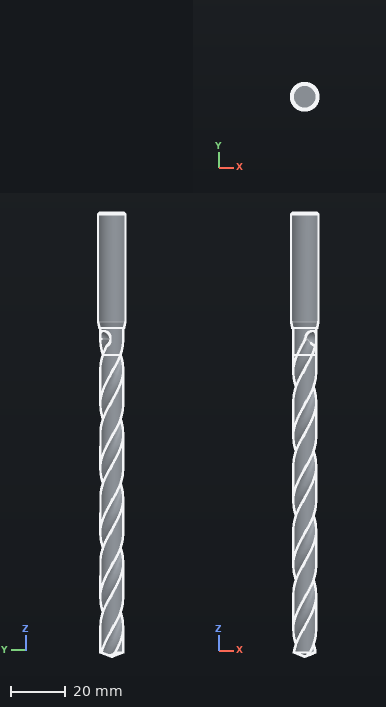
import cadquery as cq
import math

total_length = 162.0
shank_radius = 5.0
shank_chamfer = 0.6
shank_bottom = 122.1
neck_bottom = 119.9
neck_radius = 4.5
drill_radius = 4.2
point_height = 1.6
body_split = 110.2

flute_count = 2
flute_pitch = 47.0
flute_top = 118.9
flute_facing_x = 4.5
core_radius = 1.5
flute_overrun = 1.6
flute_half_angle = math.radians(40)

edge_x = drill_radius * math.cos(flute_half_angle)
edge_y = drill_radius * math.sin(flute_half_angle)
flute_depth = edge_x - core_radius
flute_radius = (flute_depth ** 2 + edge_y ** 2) / (2 * flute_depth)
flute_offset = core_radius + flute_radius
flute_end = flute_top - flute_radius


def flute_angle(height):
    """Direction, in degrees from the X axis, that the first flute faces at a height."""
    return 360 * (height - flute_facing_x) / flute_pitch


def make_flute(bottom, top):
    """Helical cutter for the stretch of the first flute between two heights."""
    length = top - bottom
    section = cq.Wire.makeCircle(
        flute_radius, cq.Vector(flute_offset, 0, bottom), cq.Vector(0, 0, 1)
    )
    cutter = cq.Solid.extrudeLinearWithRotation(
        section,
        [],
        cq.Vector(0, 0, bottom),
        cq.Vector(0, 0, length),
        360 * length / flute_pitch,
    )
    return cq.Workplane(obj=cutter).rotate((0, 0, 0), (0, 0, 1), flute_angle(bottom))


def make_flute_end():
    """Ball that rounds off the upper end of the first flute."""
    ball = cq.Workplane("XY").sphere(flute_radius).translate((flute_offset, 0, flute_end))
    return ball.rotate((0, 0, 0), (0, 0, 1), flute_angle(flute_end))


def cut_around(blank, cutter):
    """Cut one copy of the cutter per flute, evenly spaced around the axis."""
    for index in range(flute_count):
        spacing_angle = index * 360 / flute_count
        blank = blank.cut(cutter.rotate((0, 0, 0), (0, 0, 1), spacing_angle))
    return blank


def make_cutting_body():
    """Fluted lower length with the conical point."""
    blank = (
        cq.Workplane("XZ")
        .moveTo(0, 0)
        .lineTo(drill_radius, point_height)
        .lineTo(drill_radius, body_split)
        .lineTo(0, body_split)
        .close()
        .revolve(360, (0, 0, 0), (0, 1, 0))
    )
    flute = make_flute(-flute_overrun, body_split + flute_overrun)
    return cut_around(blank, flute)


def make_shank_body():
    """Chamfered shank, tapered neck and the upper ends of the flutes."""
    blank = (
        cq.Workplane("XZ")
        .moveTo(0, body_split)
        .lineTo(drill_radius, body_split)
        .lineTo(drill_radius, neck_bottom)
        .lineTo(neck_radius, neck_bottom)
        .lineTo(shank_radius, shank_bottom)
        .lineTo(shank_radius, total_length - shank_chamfer)
        .lineTo(shank_radius - shank_chamfer, total_length)
        .lineTo(0, total_length)
        .close()
        .revolve(360, (0, 0, 0), (0, 1, 0))
    )
    flute = make_flute(body_split - flute_overrun, flute_end)
    fluted = cut_around(blank, flute)
    return cut_around(fluted, make_flute_end())


cutting_body = make_cutting_body()
shank_body = make_shank_body()

result = cq.Compound.makeCompound([cutting_body.val(), shank_body.val()])